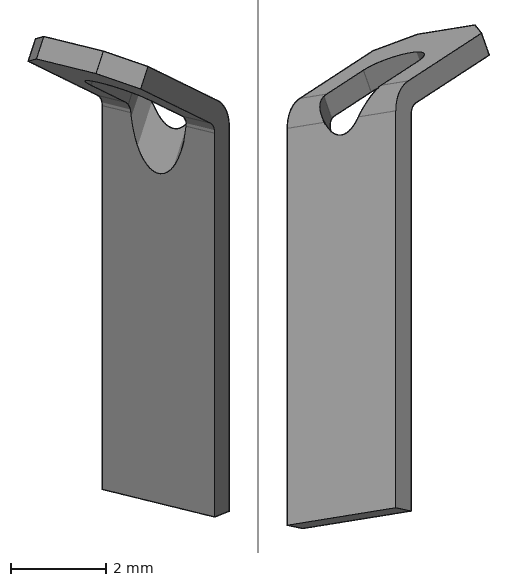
import cadquery as cq
import math

height = 10.88
depth = 3.62
width = 3.0
thickness = 0.5
inner_radius = 0.3
arm_angle = 30.0
corner_cut = 0.71
slot_width = 1.5
slot_length = 2.97
slot_start = -0.86

outer_radius = inner_radius + thickness
rise = math.sin(math.radians(arm_angle))
run = math.cos(math.radians(arm_angle))
arm_length = (depth - (outer_radius + thickness) * rise) / run
back_y = depth / 2
bend_y = back_y - outer_radius
bend_z = height - outer_radius * run - arm_length * rise


def bend_point(radius, angle):
    """Point (y, z) around the bend axis; 0 degrees faces the back."""
    turn = math.radians(angle)
    return bend_y + radius * math.cos(turn), bend_z + radius * math.sin(turn)


def along_arm(point, distance):
    return point[0] - distance * run, point[1] + distance * rise


def bent_strip():
    bend_angle = 90 - arm_angle
    outer_end = bend_point(outer_radius, bend_angle)
    inner_end = bend_point(inner_radius, bend_angle)
    profile = (
        cq.Workplane("YZ")
        .moveTo(back_y, 0)
        .lineTo(*bend_point(outer_radius, 0))
        .threePointArc(bend_point(outer_radius, bend_angle / 2), outer_end)
        .lineTo(*along_arm(outer_end, arm_length))
        .lineTo(*along_arm(inner_end, arm_length))
        .lineTo(*inner_end)
        .threePointArc(bend_point(inner_radius, bend_angle / 2), bend_point(inner_radius, 0))
        .lineTo(back_y - thickness, 0)
        .close()
    )
    return profile.extrude(width / 2, both=True)


arm_plane = cq.Plane(origin=(0, bend_y, bend_z), xDir=(0, -run, rise), normal=(0, rise, run))


def slot_cutter():
    """Round-ended slot square to the arm, running through the bend into the upright."""
    return (
        cq.Workplane(arm_plane)
        .center(slot_start + slot_length / 2, 0)
        .slot2D(slot_length, slot_width)
        .extrude(height / 2, both=True)
    )


def corner_cutter(side):
    """Triangular prism that removes one tip corner; side is -1 or 1."""
    edge = side * width / 2
    return (
        cq.Workplane(arm_plane)
        .moveTo(arm_length, edge)
        .lineTo(arm_length - corner_cut, edge)
        .lineTo(arm_length, edge - side * corner_cut)
        .close()
        .extrude(outer_radius)
    )


result = bent_strip().cut(slot_cutter())
for side in (-1, 1):
    result = result.cut(corner_cutter(side))